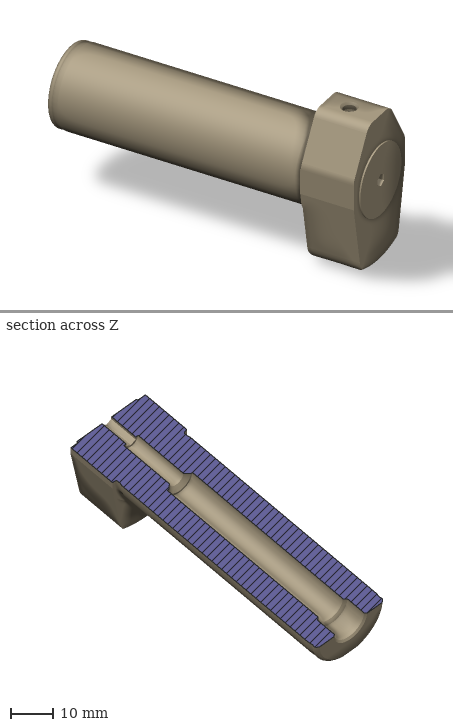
import cadquery as cq
import math

total_length = 85.0
head_start = 70.2
head_end = 84.6
pad_diameter = 19.2
collar_thickness = 0.25
collar_diameter = 25.3

shaft_radius = 22.0 / 2
neck_radius = 21.6 / 2
face_radius = 9.95
nose_rim_radius = 10.45
nose_rim_length = 0.25
nose_groove_radius = 10.8
bead_inset = 0.1
nose_length = 1.6
nose_taper_end = 3.15
neck_taper_start = 67.9
neck_start = 68.7
neck_end = 69.45
flat_height = 10.2
flat_end = 64.9
flat_chamfer_height = 0.8
flat_chamfer_length = 0.25

mouth_diameter = 10.5
bore_diameter = 9.5
middle_diameter = 8.0
seat_diameter = 6.9
throat_diameter = 4.5
bore_end = 6.3
middle_end = 59.5
throat_end = 76.5
hex_across_flats = 3.0

head_half_width = 12.0
head_top = 17.7
head_bottom = -22.8
top_half_width = 5.0
shoulder_angle = 60.0
side_bottom = -2.1
taper_angle = 10.0
corner_radius = 3.2
bottom_corner_radius = 5.3
bottom_arc_radius = 22.95
bottom_edge_radius = 1.2
bottom_dish_depth = 0.25

screw_x = 76.4
screw_mouth_diameter = 4.5
screw_diameter = 3.4
screw_socket_diameter = 2.3
screw_chamfer = (screw_mouth_diameter - screw_diameter) / 2
screw_depth = 1.7
screw_tip_depth = 0.85


def disc(x_start, x_end, diameter):
    """Cylinder on the shaft axis between two X positions."""
    return cq.Workplane("YZ", origin=(x_start, 0, 0)).circle(diameter / 2).extrude(x_end - x_start)


def revolve_about_x(profile, axis_z=0.0):
    """Solid of revolution about a line parallel to X."""
    return profile.close().revolve(360, (0, axis_z, 0), (1, axis_z, 0))


def make_outline():
    """Head prism with a narrow top, upright sides and a tapering lower end."""
    shoulder_z = head_top - (head_half_width - top_half_width) * math.tan(math.radians(shoulder_angle))
    lower_half_width = head_half_width - (side_bottom - head_bottom) * math.tan(math.radians(taper_angle))
    right_side = [
        (top_half_width, head_top),
        (head_half_width, shoulder_z),
        (head_half_width, side_bottom),
        (lower_half_width, head_bottom),
    ]
    left_side = [(-y, z) for y, z in reversed(right_side)]
    prism = (
        cq.Workplane("YZ", origin=(head_start - collar_thickness, 0, 0))
        .polyline(right_side + left_side)
        .close()
        .extrude(head_end - head_start + collar_thickness)
    )
    margin = 0.85
    upper_corners = cq.selectors.BoxSelector(
        (0, -head_half_width - margin, shoulder_z - margin),
        (total_length, head_half_width + margin, head_top + margin),
    )
    return prism.edges("|X").edges(upper_corners).fillet(corner_radius)


def make_bottom_limit():
    """Barrel with rounded rims and a slightly dished wall that shapes the lower end."""
    axis_z = head_bottom + bottom_arc_radius
    front = head_start - collar_thickness
    rim_z = head_bottom + bottom_edge_radius
    arc_offset = bottom_edge_radius * (1 - math.sqrt(0.5))
    middle_x = (head_start + head_end) / 2
    profile = (
        cq.Workplane("XZ")
        .moveTo(front, axis_z)
        .lineTo(front, rim_z)
        .lineTo(head_start, rim_z)
        .threePointArc(
            (head_start + arc_offset, head_bottom + arc_offset),
            (head_start + bottom_edge_radius, head_bottom),
        )
        .threePointArc(
            (middle_x, head_bottom + bottom_dish_depth),
            (head_end - bottom_edge_radius, head_bottom),
        )
        .threePointArc((head_end - arc_offset, head_bottom + arc_offset), (head_end, rim_z))
        .lineTo(head_end, axis_z)
    )
    return revolve_about_x(profile, axis_z)


def make_head():
    outline = make_outline()
    upper_box = cq.Workplane("XY").box(
        total_length, 2 * head_half_width, head_top - side_bottom, centered=(False, True, False)
    ).translate((0, 0, side_bottom))
    upper = outline.intersect(upper_box)
    lower = outline.cut(upper_box)
    lower = lower.edges("|X").edges("<Z").fillet(bottom_corner_radius)
    lower = lower.intersect(make_bottom_limit())
    whole = upper.union(lower)
    collar = whole.intersect(disc(head_start - collar_thickness, head_start, collar_diameter))
    body = whole.intersect(disc(head_start, head_end, total_length))
    return body.union(collar).union(disc(head_end, total_length, pad_diameter))


def make_shaft():
    """Turned shaft with a rounded nose, a neck at the head and a flat underneath."""
    fillet = head_start - collar_thickness - neck_end
    fillet_offset = fillet * math.sqrt(0.5)
    bead_middle = (nose_rim_length + nose_length) / 2
    profile = (
        cq.Workplane("XZ")
        .lineTo(0, face_radius)
        .lineTo(nose_rim_length, nose_rim_radius)
        .threePointArc((bead_middle, shaft_radius - bead_inset), (nose_length, nose_groove_radius))
        .lineTo(nose_taper_end, shaft_radius)
        .lineTo(neck_taper_start, shaft_radius)
        .lineTo(neck_start, neck_radius)
        .lineTo(neck_end, neck_radius)
        .threePointArc((neck_end + fillet_offset, neck_radius + fillet - fillet_offset),
                       (neck_end + fillet, neck_radius + fillet))
        .lineTo(head_end, neck_radius + fillet)
        .lineTo(head_end, 0)
    )
    ramp = 2 * (shaft_radius - flat_height)
    flat = (
        cq.Workplane("XZ")
        .moveTo(0, -flat_height + flat_chamfer_height)
        .lineTo(flat_chamfer_length, -flat_height)
        .lineTo(flat_end, -flat_height)
        .lineTo(flat_end + ramp, -flat_height - ramp)
        .lineTo(0, -flat_height - ramp)
        .close()
        .extrude(shaft_radius, both=True)
    )
    return revolve_about_x(profile).cut(flat)


def make_bore():
    mouth_depth = (mouth_diameter - bore_diameter) / 2
    profile = (
        cq.Workplane("XZ")
        .lineTo(0, mouth_diameter / 2)
        .lineTo(mouth_depth, bore_diameter / 2)
        .lineTo(bore_end, bore_diameter / 2)
        .lineTo(bore_end + (bore_diameter - middle_diameter) / 2, middle_diameter / 2)
        .lineTo(middle_end, middle_diameter / 2)
        .lineTo(middle_end, seat_diameter / 2)
        .lineTo(middle_end + (seat_diameter - throat_diameter) / 2, throat_diameter / 2)
        .lineTo(throat_end, throat_diameter / 2)
        .lineTo(throat_end, 0)
    )
    hex_hole = (
        cq.Workplane("YZ")
        .polygon(6, hex_across_flats / math.cos(math.pi / 6))
        .extrude(total_length)
        .rotate((0, 0, 0), (1, 0, 0), 90)
    )
    return revolve_about_x(profile).union(hex_hole)


def make_screw_hole():
    """Countersunk blind hole with a conical tip."""
    bottom_z = head_top - screw_depth
    profile = (
        cq.Workplane("XZ")
        .moveTo(0, head_top)
        .lineTo(screw_mouth_diameter / 2, head_top)
        .lineTo(screw_diameter / 2, head_top - screw_chamfer)
        .lineTo(screw_diameter / 2, bottom_z)
        .lineTo(screw_socket_diameter / 2, bottom_z)
        .lineTo(0, bottom_z - screw_tip_depth)
        .close()
    )
    return profile.revolve(360, (0, 0, 0), (0, 1, 0)).translate((screw_x, 0, 0))


result = make_head().union(make_shaft()).cut(make_bore()).cut(make_screw_hole())